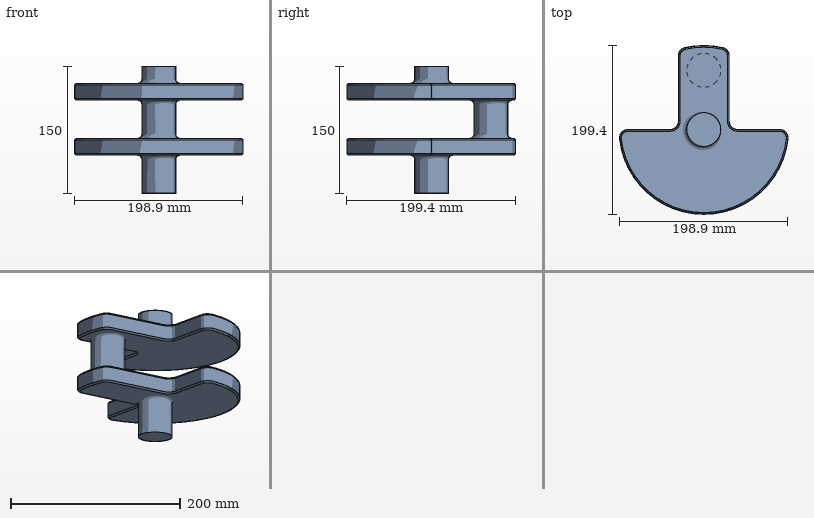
import cadquery as cq
import math

rim_radius = 100.0
overall_length = 199.4
web_thickness = 20.0
web_gap = 45.0
arm_width = 60.0
corner_radius = 10.0
edge_chamfer = 2.0
journal_diameter = 40.0
root_fillet = 5.0
crank_throw = 70.0
lower_shaft_length = 45.0
upper_shaft_length = 20.0

arm_tip_radius = overall_length - rim_radius

lower_web_bottom = lower_shaft_length
lower_web_top = lower_web_bottom + web_thickness
upper_web_bottom = lower_web_top + web_gap
upper_web_top = upper_web_bottom + web_thickness
shaft_top = upper_web_top + upper_shaft_length


def make_web(bottom):
    """Half-disc counterweight with a crank arm, rounded in plan and chamfered top and bottom."""
    half_arm = arm_width / 2
    arm_corner_y = math.sqrt(arm_tip_radius**2 - half_arm**2)
    return (
        cq.Workplane("XY", origin=(0, 0, bottom))
        .moveTo(-rim_radius, 0)
        .threePointArc((0, -rim_radius), (rim_radius, 0))
        .lineTo(half_arm, 0)
        .lineTo(half_arm, arm_corner_y)
        .threePointArc((0, arm_tip_radius), (-half_arm, arm_corner_y))
        .lineTo(-half_arm, 0)
        .close()
        .extrude(web_thickness)
        .edges("|Z")
        .fillet(corner_radius)
        .faces("<Z or >Z")
        .chamfer(edge_chamfer)
    )


def make_journal(bottom, top, y, webs_at):
    """Round journal along Z with a concave fillet ring at each web face.

    webs_at lists (level, direction) pairs; direction is +1 when the journal
    rises from the web face and -1 when it hangs below it.
    """
    radius = journal_diameter / 2
    flare_radius = radius + root_fillet
    arc_inset = root_fillet * (1 - math.sqrt(0.5))
    journal = cq.Workplane("XY", origin=(0, y, bottom)).circle(radius).extrude(top - bottom)
    for level, direction in webs_at:
        ring = (
            cq.Workplane("XZ", origin=(0, y, level))
            .lineTo(flare_radius, 0)
            .threePointArc(
                (radius + arc_inset, direction * arc_inset),
                (radius, direction * root_fillet),
            )
            .lineTo(0, direction * root_fillet)
            .close()
            .revolve(360, (0, 0), (0, 1))
        )
        journal = journal.union(ring)
    return journal


lower_shaft = make_journal(0, lower_web_bottom, 0, [(lower_web_bottom, -1)])
upper_shaft = make_journal(upper_web_top, shaft_top, 0, [(upper_web_top, 1)])
crankpin = make_journal(
    lower_web_top, upper_web_bottom, crank_throw, [(lower_web_top, 1), (upper_web_bottom, -1)]
)

result = make_web(lower_web_bottom).union(make_web(upper_web_bottom))
for journal in (lower_shaft, crankpin, upper_shaft):
    result = result.union(journal)